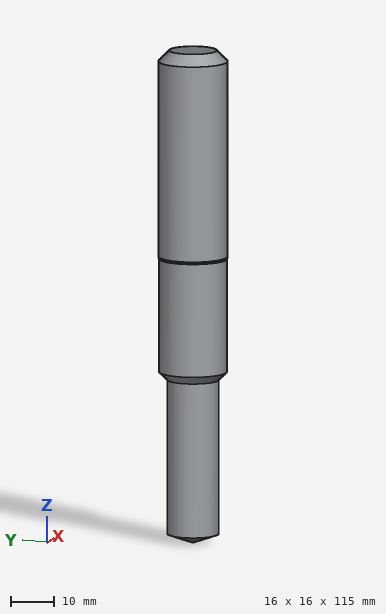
import cadquery as cq
import math

total_length = 115.0
shank_diameter = 16.0
shank_bottom_z = 66.9
shank_top_chamfer = 2.5
body_diameter = 15.8
land_height = 0.2
land_taper_height = 0.3
body_bottom_z = 40.0
tip_diameter = 12.0
point_angle = 140.0

shank_radius = shank_diameter / 2
land_bottom_z = shank_bottom_z - land_height
body_top_z = land_bottom_z - land_taper_height
body_radius = body_diameter / 2
tip_radius = tip_diameter / 2
shoulder_height = body_radius - tip_radius
tip_top_z = body_bottom_z - shoulder_height
point_height = tip_radius / math.tan(math.radians(point_angle / 2))


def make_shank():
    """Plain upper cylinder with a chamfered top edge."""
    return (
        cq.Workplane("XY", origin=(0, 0, shank_bottom_z))
        .circle(shank_radius)
        .extrude(total_length - shank_bottom_z)
        .faces(">Z")
        .edges()
        .chamfer(shank_top_chamfer)
    )


def make_stepped_drill():
    """Lower body: tapered land, wide section, conical shoulder, narrow tip and drill point."""
    return (
        cq.Workplane("XZ")
        .moveTo(0, 0)
        .lineTo(tip_radius, point_height)
        .lineTo(tip_radius, tip_top_z)
        .lineTo(body_radius, body_bottom_z)
        .lineTo(body_radius, body_top_z)
        .lineTo(shank_radius, land_bottom_z)
        .lineTo(shank_radius, shank_bottom_z)
        .lineTo(0, shank_bottom_z)
        .close()
        .revolve(360, (0, 0), (0, 1))
    )


shank = make_shank()
stepped_drill = make_stepped_drill()

result = cq.Compound.makeCompound([shank.val(), stepped_drill.val()])